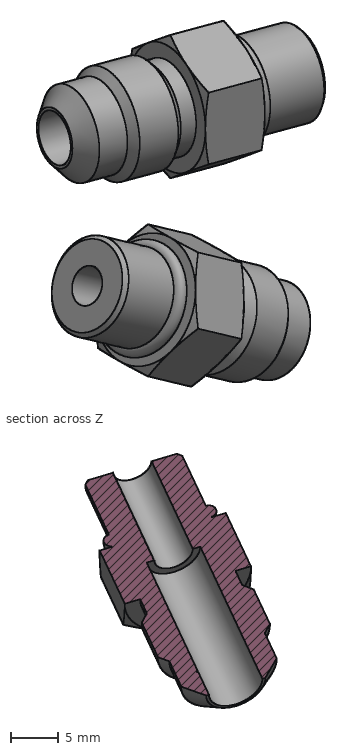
import cadquery as cq
import math

length = 31.25

nose_cone_end = 2.03
thread_start = 5.62
thread_full = 6.55
thread_taper = 11.5
thread_end = 12.45
hex_start = 14.43
hex_end = 22.05
stud_chamfer = 0.47

tip_radius = 3.35
neck_radius = 5.4
thread_radius = 6.35
stud_radius = 5.5
bore_radius = 2.15
counterbore_radius = 3.0
counterbore_depth = 18.75

across_flats = 14.28
across_corners = across_flats / math.cos(math.pi / 6)
corner_bevel = 0.4

ring_section_radius = 0.8
ring_center_radius = thread_radius - ring_section_radius


def revolve_profile(points):
    """Revolve a closed (radius, station) outline about the Y axis."""
    return cq.Workplane("XY").polyline(points).close().revolve(360, (0, 0, 0), (0, 1, 0))


def make_turned_body():
    return revolve_profile([
        (0, 0),
        (tip_radius, 0),
        (neck_radius, nose_cone_end),
        (neck_radius, thread_start),
        (thread_radius, thread_full),
        (thread_radius, thread_taper),
        (neck_radius, thread_end),
        (neck_radius, hex_start),
        (stud_radius, hex_start),
        (stud_radius, length - stud_chamfer),
        (stud_radius - stud_chamfer, length),
        (0, length),
    ])


def make_hexagon():
    """Hexagon with flats facing +X and -X, its corners bevelled at both ends."""
    prism = (
        cq.Workplane("XZ", origin=(0, hex_start, 0))
        .transformed(rotate=(0, 0, 90))
        .polygon(6, across_corners)
        .extrude(hex_start - hex_end)
    )
    flat_radius = across_flats / 2
    corner_radius = across_corners / 2
    bevel_envelope = revolve_profile([
        (0, hex_start),
        (flat_radius, hex_start),
        (corner_radius, hex_start + corner_bevel),
        (corner_radius, hex_end - corner_bevel),
        (flat_radius, hex_end),
        (0, hex_end),
    ])
    return prism.intersect(bevel_envelope)


def make_ring():
    return (
        cq.Workplane("XY")
        .center(ring_center_radius, hex_end + ring_section_radius)
        .circle(ring_section_radius)
        .revolve(360, (-ring_center_radius, 0, 0), (-ring_center_radius, 1, 0))
    )


def make_bore():
    """Through bore, wider from the nose inwards."""
    return revolve_profile([
        (0, 0),
        (counterbore_radius, 0),
        (counterbore_radius, counterbore_depth),
        (bore_radius, counterbore_depth),
        (bore_radius, length),
        (0, length),
    ])


result = make_turned_body().union(make_hexagon()).union(make_ring()).cut(make_bore())